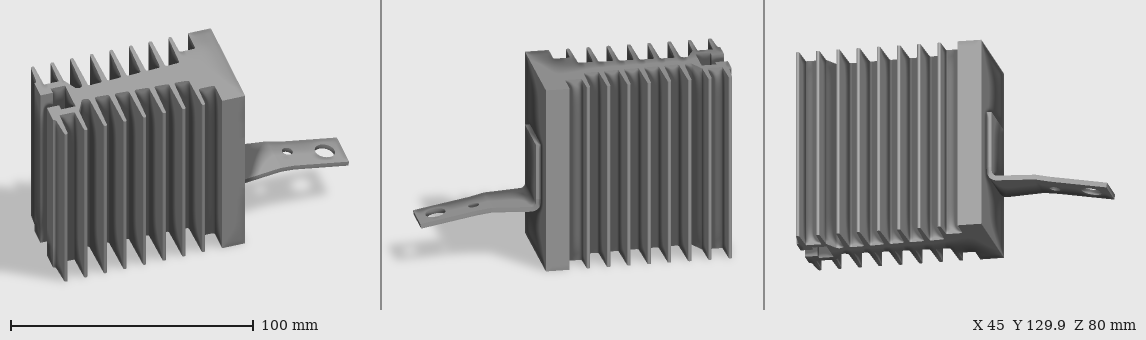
import cadquery as cq
import math


SINK_WIDTH = 45.0
SINK_DEPTH = 80.0
SINK_HEIGHT = 80.0
BASE_THICKNESS = 10.0
NECK_HALF_WIDTH = 12.3

FIN_COUNT = 8
FIRST_FIN_Y = -17.9
LAST_FIN_Y = -77.5
FIN_TIP_THICKNESS = 1.4
FIN_TIP_RADIUS = 0.7
FIN_FLANK_ANGLE = 1.5
GAP_CORNER_RADIUS = 0.9

CORE_HALF_WIDTH = 6.0
CORE_TAPER = 0.05

SHOULDER_ANGLE = 27
SHOULDER_RADIUS = 1.8
LEG_HALF_WIDTH = 10.3
SLOT_HALF_WIDTH = 6.9
SLOT_TOP_Y = -68.5
LIP_HALF_WIDTH = 4.2
LIP_TOP_Y = -74.7
FOOT_HALF_WIDTH = 12.3
FOOT_STEP = 1.0
FOOT_CORNER_RADIUS = 1.0

SHEET = 2.1
BEND_RADIUS = 3.0
LUG_BEND_RADIUS = 4.0
PLATE_HALF_WIDTH = 12.0
LUG_HALF_WIDTH = 8.0
PLATE_TOP_Z = 12.0
TAPER_TOP_Z = -12.0
BEND_TOP_Z = -13.6
ARM_END_Y = 19.5
LUG_ANGLE = 10
LUG_TAPER_END_Y = 26.1
LUG_TIP_Y = 49.9
TERMINAL_HOLE_DIAMETER = 8.5
TERMINAL_HOLE_Y = 41.8
SMALL_HOLE_DIAMETER = 4.5
SMALL_HOLE_X = -1.5
SMALL_HOLE_Y = 26.1

half_width = SINK_WIDTH / 2
fin_pitch = (LAST_FIN_Y - FIRST_FIN_Y) / (FIN_COUNT - 1)
fin_slope = math.tan(math.radians(FIN_FLANK_ANGLE))
shoulder_slope = math.tan(math.radians(SHOULDER_ANGLE))



def fin_y(number):
    return FIRST_FIN_Y + (number - 1) * fin_pitch


def fin_flank(number, side, x):
    """Point on a fin's flank at distance x from the middle; side is +1 towards the base plate, else -1."""
    half_thickness = FIN_TIP_THICKNESS / 2 + fin_slope * (half_width - x)
    return (x, fin_y(number) + side * half_thickness)


def core_x(y):
    """Half width of the core at depth y."""
    return CORE_HALF_WIDTH + CORE_TAPER * (y - FIRST_FIN_Y)


def gap(points, corner_radii):
    """Prism that clears one gap; corner_radii pairs each rounded corner of the outline with its radius."""
    prism = cq.Workplane("XY").polyline(points).close().extrude(SINK_HEIGHT / 2, both=True)
    for (x, y), radius in corner_radii:
        corner = cq.selectors.NearestToPointSelector((x, y, 0))
        prism = prism.edges("|Z").edges(corner).fillet(radius)
    return prism


def neck_gap():
    """Gap between the base plate and the first fin."""
    upper = (NECK_HALF_WIDTH, -BASE_THICKNESS)
    lower = fin_flank(1, 1, NECK_HALF_WIDTH)
    points = [(half_width, -BASE_THICKNESS), upper, lower, fin_flank(1, 1, half_width)]
    return gap(points, [(upper, GAP_CORNER_RADIUS), (lower, GAP_CORNER_RADIUS)])


def core_gap(number):
    """Gap down to the tapered core, between a fin and the next one."""
    upper = fin_flank(number, -1, core_x(fin_y(number)))
    lower = fin_flank(number + 1, 1, core_x(fin_y(number + 1)))
    points = [fin_flank(number, -1, half_width), upper, lower, fin_flank(number + 1, 1, half_width)]
    return gap(points, [(upper, GAP_CORNER_RADIUS), (lower, GAP_CORNER_RADIUS)])


def shoulder_gap(number):
    """Wedge between a fin and the sloping shoulder of the clamp foot, with its inner end rounded."""
    shoulder_x, shoulder_y = fin_flank(number + 1, 1, LEG_HALF_WIDTH)
    flank_y = fin_flank(number, -1, shoulder_x)[1]
    run = (flank_y - shoulder_y) / (shoulder_slope + fin_slope)
    apex = (shoulder_x - run, shoulder_y + shoulder_slope * run)
    points = [fin_flank(number, -1, half_width), apex, (shoulder_x, shoulder_y)]
    points.append(fin_flank(number + 1, 1, half_width))
    return gap(points, [(apex, SHOULDER_RADIUS)])


def leg_gap(number):
    """Square-cornered gap beside the leg, between the last two fins."""
    points = [fin_flank(number, -1, half_width), fin_flank(number, -1, LEG_HALF_WIDTH)]
    points += [fin_flank(number + 1, 1, LEG_HALF_WIDTH), fin_flank(number + 1, 1, half_width)]
    return gap(points, [])


def foot_gap():
    """Space beside the foot, outside the last fin."""
    tip = fin_flank(FIN_COUNT, -1, half_width)
    root = (FOOT_HALF_WIDTH, FOOT_STEP - SINK_DEPTH)
    points = [tip, root, (FOOT_HALF_WIDTH, -SINK_DEPTH), (half_width, -SINK_DEPTH)]
    return gap(points, [(root, FOOT_CORNER_RADIUS)])


def t_slot():
    half_outline = [
        (LIP_HALF_WIDTH, -SINK_DEPTH),
        (LIP_HALF_WIDTH, LIP_TOP_Y),
        (SLOT_HALF_WIDTH, LIP_TOP_Y),
        (SLOT_HALF_WIDTH, SLOT_TOP_Y),
    ]
    mirrored = [(-x, y) for x, y in reversed(half_outline)]
    return gap(half_outline + mirrored, [])


def round_fin_tips(body):
    """Round the two long edges of every fin tip; the base plate stays sharp."""
    neck_y = (fin_y(1) - BASE_THICKNESS) / 2
    inner_x = (NECK_HALF_WIDTH + half_width) / 2
    for side in (-1, 1):
        tips = cq.selectors.BoxSelector(
            (side * inner_x, -SINK_DEPTH, -SINK_HEIGHT), (side * SINK_WIDTH, neck_y, SINK_HEIGHT)
        )
        body = body.edges("|Z").edges(tips).fillet(FIN_TIP_RADIUS)
    return body


def make_heatsink():
    body = cq.Workplane("XY").box(SINK_WIDTH, SINK_DEPTH, SINK_HEIGHT).translate((0, -SINK_DEPTH / 2, 0))
    gaps = [neck_gap()]
    gaps += [core_gap(number) for number in range(1, FIN_COUNT - 2)]
    gaps += [shoulder_gap(FIN_COUNT - 2), leg_gap(FIN_COUNT - 1), foot_gap()]
    for side_gap in gaps:
        body = body.cut(side_gap).cut(side_gap.mirror("YZ"))
    return round_fin_tips(body.cut(t_slot()))



def section(station):
    """Cross-section of the strip at a station (y, z, heading, half width) on the middle of the sheet.

    The heading is the direction of the strip in the YZ plane, in degrees above +Y.
    """
    y, z, heading, half = station
    angle = math.radians(heading)
    plane = cq.Plane(origin=(0, y, z), xDir=(1, 0, 0), normal=(0, math.cos(angle), math.sin(angle)))
    return cq.Workplane(plane).rect(2 * half, SHEET).val()


def flat_strip(start, end):
    """Straight piece of strip, narrowing evenly from one station to the other."""
    return cq.Workplane(cq.Solid.makeLoft([section(start), section(end)], True))


def bent_strip(start, end):
    """Piece of strip bent round an arc, narrowing evenly from one station to the other."""
    start_point = cq.Vector(0, start[0], start[1])
    end_point = cq.Vector(0, end[0], end[1])
    angle = math.radians(start[2])
    heading = cq.Vector(0, math.cos(angle), math.sin(angle))
    path = cq.Wire.assembleEdges([cq.Edge.makeTangentArc(start_point, heading, end_point)])
    return cq.Workplane(cq.Solid.sweep_multi([section(start), section(end)], path))


def taper_half_widths(lengths):
    """Half widths at the ends of consecutive pieces of the tapered strip."""
    total = sum(lengths)
    return [
        PLATE_HALF_WIDTH - (PLATE_HALF_WIDTH - LUG_HALF_WIDTH) * sum(lengths[:count]) / total
        for count in range(len(lengths) + 1)
    ]


def lug_hole(x, y, diameter, bend_end):
    """Drill through the lug, square to its sheet, centred at (x, y) on the middle of the sheet."""
    angle = math.radians(LUG_ANGLE)
    bend_end_y, bend_end_z = bend_end
    z = bend_end_z - (y - bend_end_y) * math.tan(angle)
    plane = cq.Plane(origin=(x, y, z), xDir=(1, 0, 0), normal=(0, math.sin(angle), math.cos(angle)))
    return cq.Workplane(plane).circle(diameter / 2).extrude(SHEET, both=True)


def make_bracket():
    lug_angle = math.radians(LUG_ANGLE)
    plate_y = SHEET / 2
    arm_y = plate_y + BEND_RADIUS
    arm_z = BEND_TOP_Z - BEND_RADIUS
    lug_y = ARM_END_Y + LUG_BEND_RADIUS * math.sin(lug_angle)
    lug_z = arm_z - LUG_BEND_RADIUS * (1 - math.cos(lug_angle))
    taper_end_z = lug_z - (LUG_TAPER_END_Y - lug_y) * math.tan(lug_angle)
    tip_y = LUG_TIP_Y - SHEET / 2 * math.sin(lug_angle)
    tip_z = lug_z - (tip_y - lug_y) * math.tan(lug_angle)

    halves = taper_half_widths([
        TAPER_TOP_Z - BEND_TOP_Z,
        BEND_RADIUS * math.pi / 2,
        ARM_END_Y - arm_y,
        LUG_BEND_RADIUS * lug_angle,
        (LUG_TAPER_END_Y - lug_y) / math.cos(lug_angle),
    ])
    plate_top = (plate_y, PLATE_TOP_Z, -90, PLATE_HALF_WIDTH)
    taper_start = (plate_y, TAPER_TOP_Z, -90, halves[0])
    bend_start = (plate_y, BEND_TOP_Z, -90, halves[1])
    arm_start = (arm_y, arm_z, 0, halves[2])
    arm_end = (ARM_END_Y, arm_z, 0, halves[3])
    lug_start = (lug_y, lug_z, -LUG_ANGLE, halves[4])
    taper_end = (LUG_TAPER_END_Y, taper_end_z, -LUG_ANGLE, halves[5])
    lug_tip = (tip_y, tip_z, -LUG_ANGLE, LUG_HALF_WIDTH)

    body = (
        flat_strip(plate_top, taper_start)
        .union(flat_strip(taper_start, bend_start))
        .union(bent_strip(bend_start, arm_start))
        .union(flat_strip(arm_start, arm_end))
        .union(bent_strip(arm_end, lug_start))
        .union(flat_strip(lug_start, taper_end))
        .union(flat_strip(taper_end, lug_tip))
    )
    body = body.cut(lug_hole(0, TERMINAL_HOLE_Y, TERMINAL_HOLE_DIAMETER, (lug_y, lug_z)))
    return body.cut(lug_hole(SMALL_HOLE_X, SMALL_HOLE_Y, SMALL_HOLE_DIAMETER, (lug_y, lug_z)))


heatsink = make_heatsink()
bracket = make_bracket()
result = cq.Compound.makeCompound([heatsink.val(), bracket.val()])